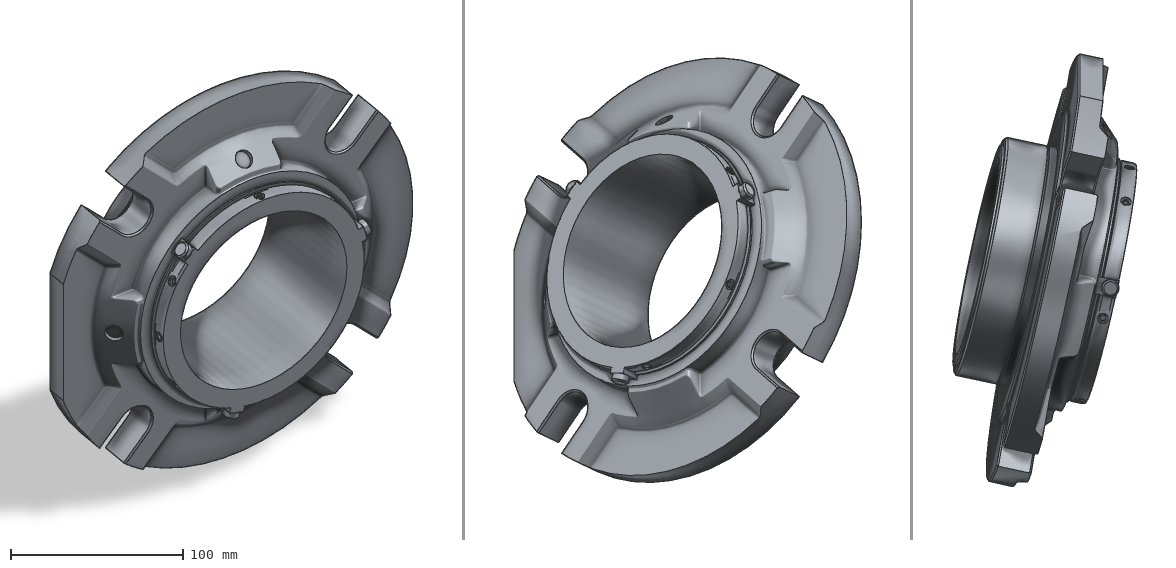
import cadquery as cq
import math

BORE_RADIUS = 117.5 / 2

NOSE_TIP_RADIUS = 131.7 / 2
NOSE_RADIUS = 141.3 / 2
NOSE_TIP_LENGTH = 1.3
NOSE_CHAMFER = 1.3
NECK_GROOVE_START = 26.0
NECK_GROOVE_END = 27.2
NECK_GROOVE_RADIUS = 138.3 / 2
SHOULDER_RADIUS = 141.5 / 2

PILOT_START = 31.7
PILOT_RADIUS = 92.4
PILOT_FOOT_RADIUS = 94.1
PILOT_FACE_RADIUS = 181.7 / 2
FLANGE_START = 33.2
FLANGE_BACK = 48.0
FLANGE_RADIUS = 127.0
FLANGE_EDGE_CHAMFER = 1.0
FLAT_OFFSET = 120.0
STEP_X = 53.8
CONE_STEP_RADIUS = 93.5
FLANGE_FOOT_FILLET = 3.8
HUB_RADIUS = 78.2
HUB_END = 66.2

SLOT_ANGLES = (45, 135, 225, 315)
SLOT_WIDTH = 24.0
SLOT_CENTER_RADIUS = 104.0
SLOT_EDGE_CHAMFER = 1.0
LAND_HALF_WIDTH = 28.0
LAND_INNER_RADIUS = 76.0

PAD_ANGLES = (0, 90, 180, 270)
SHORT_PAD_ANGLE = 0
PAD_WIDTH = 46.2
PAD_END = 65.2
SHORT_PAD_END = 62.5
PAD_CORNER_FILLET = 3.0
PAD_FOOT_FILLET = 1.5
PAD_EDGE_FILLET = 0.8
PORT_DIAMETER = 11.0
PORT_DEPTH = 3.3
PORT_STATIONS = {90: 58.9, 180: 56.8}

SLEEVE_RADIUS = 123.8 / 2
GLAND_LIP_RADIUS = 71.0
COLLAR_START = 67.5
COLLAR_END = 68.8
COLLAR_RADIUS = 144.5 / 2
RING_START = 69.8
RING_END = 79.0
RING_RADIUS = 142.9 / 2
RING_SHOULDER_LENGTH = 1.8
RING_SHOULDER_DROP = 0.5

SCREW_X = 74.5
SCREW_ANGLES = (30, 90, 150, 180, 210, 270, 330)
SCREW_HOLE_DIAMETER = 6.0
SCREW_RECESS = 0.8
SOCKET_DIAMETER = 3.8
SOCKET_DEPTH = 1.5

CLIP_ANGLES = (15, 135, 255)
CLIP_WIDTH = 10.2
CLIP_TOP = 74.3
CLIP_ROOT = 68.5
HEAD_DIAMETER = 10.0
HEAD_TOP = 79.0
HEAD_CHAMFER = 1.0

OVERCUT = 2.5
TOLERANCE = 0.03


def revolve_about_x(outline):
    """Full turn about the X axis of a closed (x, radius) outline."""
    return outline.close().revolve(360, (0, 0, 0), (1, 0, 0))


def tube(start, end, radius):
    """Cylinder along X between two stations."""
    return cq.Workplane("YZ").workplane(offset=start).circle(radius).extrude(end - start)


def turned(shape, angle):
    """Shape built on the +Y side, turned about X towards +Z."""
    return shape.rotate((0, 0, 0), (1, 0, 0), angle)


def radial_cylinder(x, diameter, inner, outer):
    """Cylinder pointing along +Y between two radii."""
    plane = cq.Plane(origin=(x, inner, 0), xDir=(1, 0, 0), normal=(0, 1, 0))
    return cq.Workplane(plane).circle(diameter / 2).extrude(outer - inner)


def cone_radius(x):
    """Radius of the 45 degree hub cone at a station along X."""
    return CONE_STEP_RADIUS + STEP_X - x


def sleeve_nose():
    """Turned sleeve from its tip through the pilot boss to the flange face."""
    pilot_rim_x = (PILOT_START + FLANGE_START) / 2
    outline = (
        cq.Workplane("XY")
        .moveTo(0, 0)
        .lineTo(0, NOSE_TIP_RADIUS)
        .lineTo(NOSE_TIP_LENGTH, NOSE_TIP_RADIUS)
        .lineTo(NOSE_TIP_LENGTH, NOSE_RADIUS - NOSE_CHAMFER)
        .lineTo(NOSE_TIP_LENGTH + NOSE_CHAMFER, NOSE_RADIUS)
        .lineTo(NECK_GROOVE_START, NOSE_RADIUS)
        .lineTo(NECK_GROOVE_START, NECK_GROOVE_RADIUS)
        .lineTo(NECK_GROOVE_END, NECK_GROOVE_RADIUS)
        .lineTo(NECK_GROOVE_END, SHOULDER_RADIUS)
        .lineTo(PILOT_START, SHOULDER_RADIUS)
        .lineTo(PILOT_START, PILOT_FACE_RADIUS)
        .lineTo(pilot_rim_x, PILOT_RADIUS)
        .lineTo(FLANGE_START, PILOT_FOOT_RADIUS)
        .lineTo(FLANGE_START, 0)
    )
    return revolve_about_x(outline)


def slot_land():
    """Raised land with 45 degree flanks that carries one bolt slot, on the +Y side."""
    height = STEP_X - FLANGE_BACK
    foot = LAND_HALF_WIDTH + height
    base = FLANGE_BACK - height
    plane = cq.Plane(origin=(0, LAND_INNER_RADIUS, 0), xDir=(1, 0, 0), normal=(0, 1, 0))
    return (
        cq.Workplane(plane)
        .polyline([
            (base, -foot),
            (FLANGE_BACK, -foot),
            (STEP_X, -LAND_HALF_WIDTH),
            (STEP_X, LAND_HALF_WIDTH),
            (FLANGE_BACK, foot),
            (base, foot),
        ])
        .close()
        .extrude(FLANGE_RADIUS + OVERCUT - LAND_INNER_RADIUS)
    )


def flange():
    """Flange disc with its four slot lands and the flat on the -Y side."""
    disc = tube(FLANGE_START, FLANGE_BACK, FLANGE_RADIUS + OVERCUT)
    for angle in SLOT_ANGLES:
        disc = disc.union(turned(slot_land(), angle))
    rim = tube(FLANGE_START, STEP_X, FLANGE_RADIUS)
    width = FLANGE_RADIUS + FLAT_OFFSET
    stock = cq.Workplane("XY").box(STEP_X, width, 2 * FLANGE_RADIUS, centered=(False, False, True))
    rim = rim.intersect(stock.translate((0, -FLAT_OFFSET, 0))).faces("<X").chamfer(FLANGE_EDGE_CHAMFER)
    return disc.intersect(rim)


def slot_outline(x, half_width):
    """Round-ended slot outline, open at the rim on the +Y side."""
    mouth = FLANGE_RADIUS + 2 * OVERCUT
    return (
        cq.Workplane("YZ")
        .workplane(offset=x)
        .moveTo(mouth, -half_width)
        .lineTo(SLOT_CENTER_RADIUS, -half_width)
        .threePointArc((SLOT_CENTER_RADIUS - half_width, 0), (SLOT_CENTER_RADIUS, half_width))
        .lineTo(mouth, half_width)
        .close()
    )


def bolt_slot():
    """Slot through flange and land with both of its edges chamfered."""
    half_width = SLOT_WIDTH / 2
    wide = half_width + SLOT_EDGE_CHAMFER
    start = PILOT_START - OVERCUT
    through = slot_outline(start, half_width).extrude(STEP_X + OVERCUT - start)
    front_edge = slot_outline(FLANGE_START, wide).extrude(SLOT_EDGE_CHAMFER, taper=45)
    back_edge = slot_outline(STEP_X, wide).extrude(-SLOT_EDGE_CHAMFER, taper=45)
    return through.union(front_edge).union(back_edge)


def pad_block(end):
    """Round-cornered block that bounds one port pad on the +Y side."""
    length = end - FLANGE_BACK
    block = cq.Workplane("XY").box(length, 2 * HUB_RADIUS, PAD_WIDTH, centered=(False, False, True))
    return block.edges(">X and |Y").fillet(PAD_CORNER_FILLET).translate((FLANGE_BACK, 0, 0))


def hub():
    """Conical hub turned down to a cylinder except where the port pads stand."""
    foot = cone_radius(FLANGE_BACK)
    cone = revolve_about_x(
        cq.Workplane("XY")
        .moveTo(FLANGE_START, 0)
        .lineTo(FLANGE_START, foot)
        .lineTo(FLANGE_BACK, foot)
        .lineTo(HUB_END, cone_radius(HUB_END))
        .lineTo(HUB_END, 0)
    )
    waste = tube(STEP_X, HUB_END + OVERCUT, FLANGE_RADIUS).cut(
        tube(STEP_X, HUB_END + OVERCUT, HUB_RADIUS)
    )
    for angle in PAD_ANGLES:
        pad_end = SHORT_PAD_END if angle == SHORT_PAD_ANGLE else PAD_END
        waste = waste.cut(turned(pad_block(pad_end), angle))
    return cone.cut(waste)


def lies_on_radius(edge, radius_at):
    """True when an edge follows the turned surface given by radius_at(x)."""
    points = [edge.positionAt(t) for t in (0, 0.4, 1)]
    return all(abs(math.hypot(p.y, p.z) - radius_at(p.x)) < TOLERANCE for p in points)


def is_at_station(edge, x):
    """True when an edge lies in the plane square to X at the station."""
    box = edge.BoundingBox()
    return abs(box.xmin - x) < TOLERANCE and abs(box.xmax - x) < TOLERANCE


def is_recess_corner(edge):
    """Corner of the recesses between the lands: land foot, cone foot or where land meets cone."""
    if edge.geomType() == "PARABOLA":
        return True
    if not is_at_station(edge, FLANGE_BACK):
        return False
    is_land_foot = edge.geomType() == "LINE" and edge.Center().y > TOLERANCE - FLAT_OFFSET
    return is_land_foot or lies_on_radius(edge, cone_radius)


def is_pad_foot(edge):
    """Corner where a pad or the hub cylinder rises from the step face, or a pad from the cylinder."""
    if lies_on_radius(edge, lambda x: HUB_RADIUS):
        return edge.BoundingBox().xmax < HUB_END - TOLERANCE
    is_inside_lands = math.hypot(edge.Center().y, edge.Center().z) < CONE_STEP_RADIUS
    is_straight = edge.geomType() == "LINE"
    return is_straight and is_inside_lands and is_at_station(edge, STEP_X)


def is_pad_rim(edge):
    """Outer edge of a pad, where its side or end meets the cone."""
    return edge.BoundingBox().xmax > STEP_X + TOLERANCE and lies_on_radius(edge, cone_radius)


def gland():
    """Flange and hub joined, with their corners rounded."""
    joined = flange().union(hub())
    joined = joined.edges().filter(is_recess_corner).fillet(FLANGE_FOOT_FILLET)
    joined = joined.edges().filter(is_pad_foot).fillet(PAD_FOOT_FILLET)
    return joined.edges().filter(is_pad_rim).fillet(PAD_EDGE_FILLET)


def port_hole(station):
    """Blind port square to the cone on the +Y side."""
    lean = math.sqrt(0.5)
    axis = cq.Vector(-lean, -lean, 0)
    mouth = cq.Vector(station, cone_radius(station), 0)
    return cq.Workplane(
        cq.Solid.makeCylinder(PORT_DIAMETER / 2, PORT_DEPTH + OVERCUT, mouth - axis * OVERCUT, axis)
    )


def drive_end():
    """Lip, thin collar, sleeve end and drive ring behind the hub."""
    ring_edge = RING_RADIUS - RING_SHOULDER_DROP
    outline = (
        cq.Workplane("XY")
        .moveTo(HUB_END, 0)
        .lineTo(HUB_END, GLAND_LIP_RADIUS)
        .lineTo(COLLAR_START, GLAND_LIP_RADIUS)
        .lineTo(COLLAR_START, COLLAR_RADIUS)
        .lineTo(COLLAR_END, COLLAR_RADIUS)
        .lineTo(COLLAR_END, SLEEVE_RADIUS)
        .lineTo(RING_START, SLEEVE_RADIUS)
        .lineTo(RING_START, ring_edge)
        .lineTo(RING_START + RING_SHOULDER_LENGTH, RING_RADIUS)
        .lineTo(RING_END - RING_SHOULDER_LENGTH, RING_RADIUS)
        .lineTo(RING_END, ring_edge)
        .lineTo(RING_END, 0)
    )
    return revolve_about_x(outline)


def set_screw_recess():
    """Set screw sunk in the ring with its drive socket, on the +Y side."""
    floor = RING_RADIUS - SCREW_RECESS
    hole = radial_cylinder(SCREW_X, SCREW_HOLE_DIAMETER, floor, RING_RADIUS + OVERCUT)
    socket = radial_cylinder(SCREW_X, SOCKET_DIAMETER, floor - SOCKET_DEPTH, floor)
    return hole.union(socket)


def setting_clip():
    """Clip plate bridging hub and ring, held by a cap screw, on the +Y side."""
    plate = cq.Workplane("XY").box(
        RING_END - HUB_END, CLIP_TOP - CLIP_ROOT, CLIP_WIDTH, centered=(False, False, True)
    )
    plate = plate.translate((HUB_END, CLIP_ROOT, 0))
    head = radial_cylinder(SCREW_X, HEAD_DIAMETER, CLIP_TOP, HEAD_TOP).faces(">Y").chamfer(HEAD_CHAMFER)
    return plate.union(head)


body = sleeve_nose().union(gland())

for angle in SLOT_ANGLES:
    body = body.cut(turned(bolt_slot(), angle))

for angle, station in PORT_STATIONS.items():
    body = body.cut(turned(port_hole(station), angle))

body = body.union(drive_end())

for angle in SCREW_ANGLES:
    body = body.cut(turned(set_screw_recess(), angle))

for angle in CLIP_ANGLES:
    body = body.union(turned(setting_clip(), angle))

result = body.cut(tube(-OVERCUT, RING_END + OVERCUT, BORE_RADIUS))